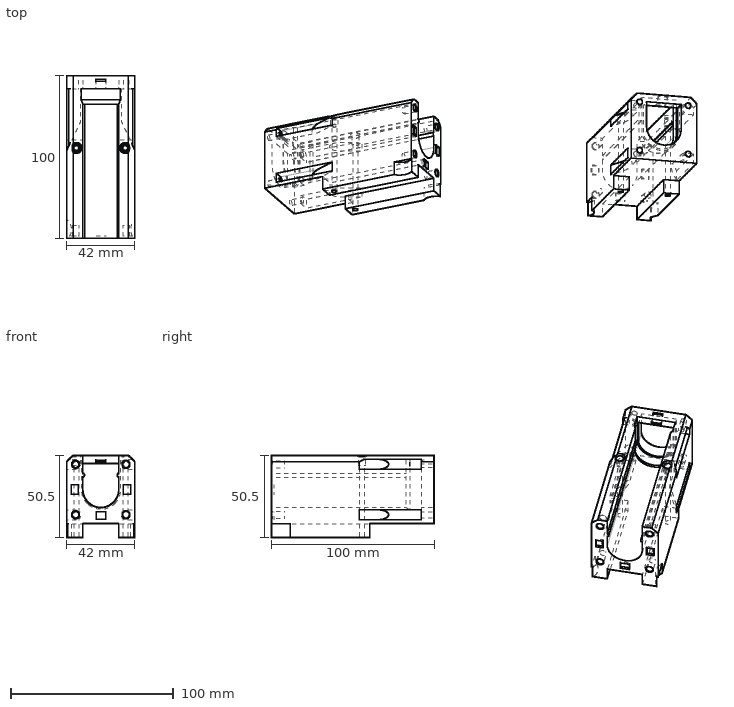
import cadquery as cq
import math

length = 100.0
width = 42.0
half_width = width / 2
corner_radius = 27.0
foot_height = 8.5
foot_length = 60.5
body_bottom = -half_width
body_top = half_width
foot_bottom = body_bottom - foot_height

trough_radius = 11.0
seat_radius = 12.0
rear_wall = 8.0
seat_length = 7.0
seat_taper = 2.5
bridge_height = 5.1
seat_rear = length - rear_wall
seat_front = seat_rear - seat_length
taper_front = seat_front - seat_taper

ridge_diameter = 2.5
ridge_overlap = 0.25
ridge_z = 8.8

screw_offset = 15.5
insert_diameter = 4.2
insert_mouth_diameter = 4.8
insert_mouth_depth = 0.4
insert_depth = 8.0
rear_screw_diameter = 3.5
access_diameter = 6.0
access_front = length - 46.0
access_ramp = 18.0

pocket_offset = 16.0
pocket_long = 5.8
pocket_short = 4.6
pocket_depth = 1.5

vertical_x = 15.0
vertical_y = length - 44.5
vertical_diameter = 3.1
counterbore_diameter = 4.5
counterbore_depth = 6.0
countersink_diameter = 6.5
countersink_depth = (countersink_diameter - counterbore_diameter) / 2

strap_width = 6.0
strap_outer_radius = 6.0
strap_thickness = 1.1
strap_axis_height = 2.0

relief_radius = 8.3
relief_x = 26.5
relief_y = 5.5


def box(x_range, y_range, z_range):
    """Box between the given limits."""
    (x0, x1), (y0, y1), (z0, z1) = x_range, y_range, z_range
    return cq.Workplane("XY").box(x1 - x0, y1 - y0, z1 - z0, centered=False).translate((x0, y0, z0))


def rod(x, z, diameter, y_start, y_end):
    """Cylinder parallel to Y."""
    axis = cq.Vector(0, 1, 0)
    return cq.Workplane(cq.Solid.makeCylinder(diameter / 2, y_end - y_start, cq.Vector(x, y_start, z), axis))


def taper(base, direction, start_diameter, end_diameter, height):
    """Truncated cone from a base point along a direction."""
    start = cq.Vector(*base)
    axis = cq.Vector(*direction)
    return cq.Workplane(cq.Solid.makeCone(start_diameter / 2, end_diameter / 2, height, start, axis))


def make_body():
    """Square body with rounded upper edges, standing on two feet."""
    edge = math.sqrt(corner_radius**2 - half_width**2)
    middle = corner_radius / math.sqrt(2)
    body = (
        cq.Workplane("XZ")
        .moveTo(-half_width, body_bottom)
        .lineTo(half_width, body_bottom)
        .lineTo(half_width, edge)
        .threePointArc((middle, middle), (edge, body_top))
        .lineTo(-edge, body_top)
        .threePointArc((-middle, middle), (-half_width, edge))
        .close()
        .extrude(-length)
    )
    feet = box((-half_width, half_width), (0, foot_length), (foot_bottom, body_bottom))
    gap = box((-trough_radius, trough_radius), (0, foot_length), (foot_bottom, body_bottom))
    return body.union(feet.cut(gap))


def u_channel(radius, y_start, y_end, top):
    """Round-bottomed channel around the bore axis, reaching up to the given height."""
    walls = box((-radius, radius), (y_start, y_end), (0, top))
    return rod(0, 0, 2 * radius, y_start, y_end).union(walls)


def u_face(radius, y):
    """Closed outline of the round-bottomed channel at one place along Y."""
    return (
        cq.Workplane("XZ", origin=(0, y, 0))
        .moveTo(-radius, body_top)
        .lineTo(-radius, 0)
        .threePointArc((0, -radius), (radius, 0))
        .lineTo(radius, body_top)
        .close()
        .val()
    )


def make_trough():
    """Trough, rear opening under the bridge, and the tapered seat."""
    trough = u_channel(trough_radius, 0, seat_rear, body_top)
    opening = u_channel(trough_radius, seat_rear, length, body_top - bridge_height)
    seat = u_channel(seat_radius, seat_front, seat_rear, body_top)
    outlines = [u_face(trough_radius, taper_front), u_face(seat_radius, seat_front)]
    transition = cq.Workplane(cq.Solid.makeLoft(outlines, True))
    return trough.union(opening).union(seat).union(transition)


def make_access_channel(side, z):
    """Round-bottomed side channel around a screw axis with a sloping front."""
    radius = access_diameter / 2
    x = side * screw_offset
    channel = rod(x, z, access_diameter, access_front, seat_rear)
    x_range = sorted((x, side * half_width))
    channel = channel.union(box(x_range, (access_front, seat_rear), (z - radius, z + radius)))
    deepest = side * (screw_offset - radius)
    ramp = (
        cq.Workplane("XY", origin=(0, 0, z - radius))
        .moveTo(side * half_width, access_front)
        .lineTo(deepest, access_front + access_ramp)
        .lineTo(deepest, access_front)
        .close()
        .extrude(access_diameter)
    )
    return channel.cut(ramp)


def make_insert_hole(x, z):
    """Blind front hole with a conical mouth."""
    hole = rod(x, z, insert_diameter, 0, insert_depth)
    mouth = taper((x, 0, z), (0, 1, 0), insert_mouth_diameter, insert_diameter, insert_mouth_depth)
    return hole.union(mouth)


def make_vertical_hole(x):
    """Through hole with a counterbore and a countersunk mouth at the top."""
    height = body_top - foot_bottom
    top_center = (x, vertical_y, body_top)
    top_plane = cq.Workplane("XY", origin=top_center)
    hole = top_plane.circle(vertical_diameter / 2).extrude(-height)
    counterbore = top_plane.circle(counterbore_diameter / 2).extrude(-counterbore_depth)
    mouth = taper(top_center, (0, 0, -1), countersink_diameter, counterbore_diameter, countersink_depth)
    return hole.union(counterbore).union(mouth)


def make_magnet_pocket(x, z, size_x, size_z):
    """Shallow rectangular pocket in the front face."""
    return box((x - size_x / 2, x + size_x / 2), (0, pocket_depth), (z - size_z / 2, z + size_z / 2))


def make_strap_passage():
    """Curved slot from the top of the bridge to its front face."""
    return (
        cq.Workplane("YZ", origin=(-strap_width / 2, seat_rear, body_top + strap_axis_height))
        .circle(strap_outer_radius)
        .circle(strap_outer_radius - strap_thickness)
        .extrude(strap_width)
    )


def make_foot_relief(side):
    """Upright cylinder that hollows the outer side of a foot."""
    return (
        cq.Workplane("XY", origin=(side * relief_x, relief_y, foot_bottom))
        .circle(relief_radius)
        .extrude(foot_height)
    )


result = make_body().cut(make_trough())

for side in (-1, 1):
    ridge_x = side * (trough_radius + ridge_overlap)
    result = result.union(rod(ridge_x, ridge_z, ridge_diameter, 0, taper_front))
    result = result.cut(make_vertical_hole(side * vertical_x))
    result = result.cut(make_foot_relief(side))
    result = result.cut(make_magnet_pocket(side * pocket_offset, 0, pocket_short, pocket_long))
    for z in (-screw_offset, screw_offset):
        result = result.cut(make_insert_hole(side * screw_offset, z))
        result = result.cut(make_access_channel(side, z))
        result = result.cut(rod(side * screw_offset, z, rear_screw_diameter, seat_rear, length))

result = result.cut(make_magnet_pocket(0, -pocket_offset, pocket_long, pocket_short))
result = result.cut(make_strap_passage())